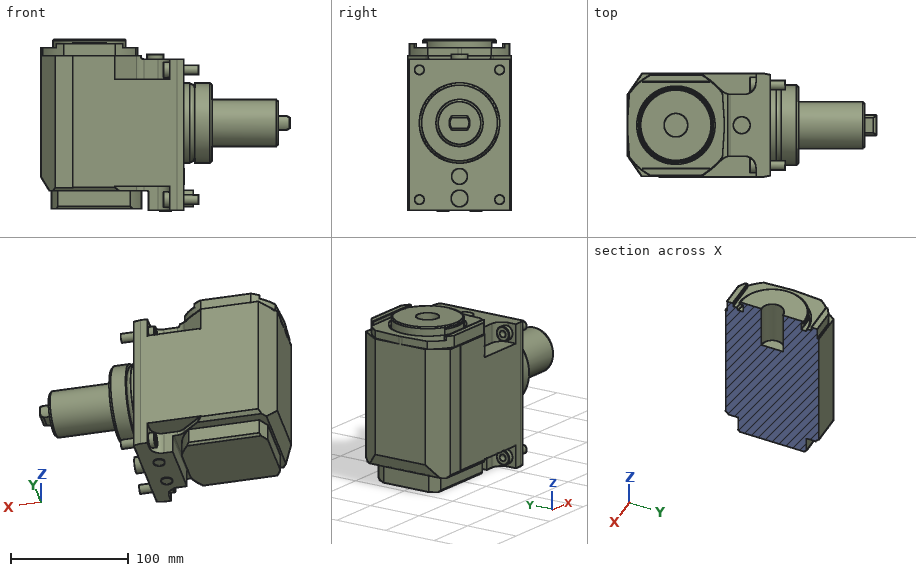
import cadquery as cq
import math


HALF_WIDTH = 44.0
SPINDLE_X = -80.1
HOUSING_FRONT_X = -121.2
HOUSING_TOP_Z = 57.0
HOUSING_BOTTOM_Z = -57.5
FRONT_HALF_FLAT = 25.8
FRONT_CORNER_LENGTH = 12.5
FRONT_BEVEL_LENGTH = 7.1
FRONT_BEVEL_HEIGHT = 11.7
SIDE_BEVEL = 3.2
SIDE_RELIEF_DEPTH = 0.6
SIDE_RELIEF_END_X = -94.2

FLANGE_TOP_Z = 54.2
FLANGE_BOTTOM_Z = -74.0
FLANGE_THICKNESS = 12.2
FLANGE_TAPER_LENGTH = 6.0
FLANGE_TAPER_INSET = 1.2
TOP_STEP_X = -36.3
TOP_STEP_RADIUS = 2.0
FOOT_FRONT_X = -30.2
FOOT_FILLET = 1.0

POCKET_START_X = -58.8
POCKET_INNER_Y = 26.2
POCKET_WALL_ANGLE = 40.0
POCKET_RADIUS = 10.0
UPPER_POCKET_FLOOR_Z = 37.0
LOWER_POCKET_ROOF_Z = -53.7

SCREW_Y = 34.0
SCREW_LEVELS = (45.0, -65.0)
SCREW_DIAMETER = 8.0
SCREW_TIP_X = 12.5
SCREW_HEAD_DIAMETER = 13.0
SCREW_HEAD_HEIGHT = 5.2
SCREW_HEAD_CHAMFER = 0.5
SCREW_SOCKET_DIAMETER = 6.0
SCREW_SOCKET_DEPTH = 2.0

PLATE_TOP_Z = 63.9
PLATE_RADIUS = 47.8
PLATE_HALF_WIDTH = 42.5
PLATE_HALF_LENGTH = 41.1
PLATE_TIP_HALF_WIDTH = 1.6
PLATE_END_HALF_WIDTH = 27.0
RAIL_TOP_Z = 67.3
RAIL_INNER_Y = 36.6
RAIL_HALF_LENGTH = 28.3
RAIL_EDGE_CHAMFER = 0.5
PLATE_RECESS_RADIUS = 33.2
PLATE_RECESS_FLOOR_RADIUS = 31.8
PLATE_RECESS_DEPTH = 2.5

NOSE_RADIUS = 31.0
NOSE_TOP_Z = 71.0
NOSE_CHAMFER = 1.2
NOSE_FLAT_OFFSET = 27.5
NOSE_FLAT_TOP_Z = 68.2
BORE_DIAMETER = 20.0
BORE_DEPTH = 40.0

COVER_FRONT_X = -112.3
COVER_BACK_X = -35.9
COVER_HALF_WIDTH = 32.2
COVER_BOTTOM_Z = -72.8
COVER_FRONT_HALF_FLAT = 23.2
COVER_FRONT_CORNER_LENGTH = 5.4
COVER_BACK_RADIUS = 47.4
COVER_SIDE_CHAMFER = 2.0

COLLAR_RADIUS = 34.1
COLLAR_LENGTH = 24.0
COLLAR_CHAMFER = 2.0
GROOVE_START_X = 4.8
GROOVE_END_X = 9.2
GROOVE_FLOOR_RADIUS = 30.2
SEAL_RADIUS = 33.4
SHANK_RADIUS = 20.0
SHANK_END_X = 80.1
SHANK_CHAMFER = 2.0
TANG_RADIUS = 8.8
TANG_END_X = 90.0
TANG_ACROSS_FLATS = 12.2
TANG_FLAT_BEVEL_LENGTH = 3.0
TANG_FLAT_BEVEL_HEIGHT = 1.8
TANG_RIM_CHAMFER = 0.7

TOP_PLUG_X = -24.3
TOP_PLUG_DIAMETER = 14.3
TOP_PLUG_HEIGHT = 3.9
PAD_X = -15.5
PAD_Y = 14.0
PAD_DIAMETER = 9.8
PAD_HEIGHT = 0.8
PIN_Z = -64.0
PIN_DIAMETER = 14.2
PIN_LENGTH = 8.1
SEAL_PAD_Z = -45.3
SEAL_PAD_DIAMETER = 13.4
SEAL_PAD_HEIGHT = 0.5

EMBED = 1.0
MARGIN = 10.0


def box_between(x_range, y_range, z_range):
    """Axis-aligned box between two coordinates on each axis."""
    size = [high - low for low, high in (x_range, y_range, z_range)]
    corner = (x_range[0], y_range[0], z_range[0])
    return cq.Workplane("XY").box(*size, centered=False).translate(corner)


def prism_z(outline, z_low, z_high):
    """Prism along Z from points in X and Y."""
    return cq.Workplane("XY").workplane(offset=z_low).polyline(outline).close().extrude(z_high - z_low)


def disc_z(x, y, z_low, radius, height):
    """Cylinder along Z."""
    return cq.Workplane("XY", origin=(x, y, z_low)).circle(radius).extrude(height)


def disc_x(x_low, y, z, radius, length):
    """Cylinder along X."""
    return cq.Workplane("YZ", origin=(x_low, y, z)).circle(radius).extrude(length)


def cone(base, direction, base_radius, end_radius, length):
    """Cone or frustum that starts at the base point and runs along the direction."""
    solid = cq.Solid.makeCone(base_radius, end_radius, length, cq.Vector(*base), cq.Vector(*direction))
    return cq.Workplane("XY").add(solid)


def both_sides(shape):
    """The shape together with its mirror image across the plane Y = 0."""
    return shape.union(shape.mirror("XZ"))


def side_bevel(half_width, bottom_z, size, x_low, x_high):
    """Triangular cutters for the two lower long edges of a block."""
    section = [
        (half_width + EMBED, bottom_z - EMBED),
        (half_width + EMBED, bottom_z + size + EMBED),
        (half_width - size - EMBED, bottom_z - EMBED),
    ]
    wedge = cq.Workplane("YZ", origin=(x_low, 0, 0)).polyline(section).close().extrude(x_high - x_low)
    return both_sides(wedge)


def housing():
    """Housing block with slanted front corners, lower bevels and a shallow side relief."""
    corner_x = HOUSING_FRONT_X + FRONT_CORNER_LENGTH
    outline = [
        (HOUSING_FRONT_X, -FRONT_HALF_FLAT),
        (corner_x, -HALF_WIDTH),
        (-FLANGE_THICKNESS, -HALF_WIDTH),
        (-FLANGE_THICKNESS, HALF_WIDTH),
        (corner_x, HALF_WIDTH),
        (HOUSING_FRONT_X, FRONT_HALF_FLAT),
    ]
    body = prism_z(outline, HOUSING_BOTTOM_Z, HOUSING_TOP_Z)
    front_bevel = (
        cq.Workplane("XZ", origin=(0, HALF_WIDTH, 0))
        .moveTo(HOUSING_FRONT_X, HOUSING_BOTTOM_Z)
        .lineTo(HOUSING_FRONT_X, HOUSING_BOTTOM_Z + FRONT_BEVEL_HEIGHT)
        .lineTo(HOUSING_FRONT_X + FRONT_BEVEL_LENGTH, HOUSING_BOTTOM_Z)
        .close()
        .extrude(2 * HALF_WIDTH)
    )
    side_relief = box_between(
        (HOUSING_FRONT_X, SIDE_RELIEF_END_X),
        (-HALF_WIDTH, -HALF_WIDTH + SIDE_RELIEF_DEPTH),
        (HOUSING_BOTTOM_Z, HOUSING_TOP_Z),
    )
    bevels = side_bevel(HALF_WIDTH, HOUSING_BOTTOM_Z, SIDE_BEVEL, HOUSING_FRONT_X, -FLANGE_THICKNESS)
    return body.cut(front_bevel).cut(side_relief).cut(bevels)


def top_step():
    """Cutter that lowers the housing top to flange height, with a rounded inner corner."""
    return (
        cq.Workplane("XZ", origin=(0, HALF_WIDTH, 0))
        .moveTo(TOP_STEP_X, HOUSING_TOP_Z + MARGIN)
        .lineTo(TOP_STEP_X, FLANGE_TOP_Z + TOP_STEP_RADIUS)
        .radiusArc((TOP_STEP_X + TOP_STEP_RADIUS, FLANGE_TOP_Z), -TOP_STEP_RADIUS)
        .lineTo(0, FLANGE_TOP_Z)
        .lineTo(0, HOUSING_TOP_Z + MARGIN)
        .close()
        .extrude(2 * HALF_WIDTH)
    )


def flange():
    """Flange plate with tapered rear sides."""
    face_half_width = HALF_WIDTH - FLANGE_TAPER_INSET
    outline = [
        (-FLANGE_THICKNESS, -HALF_WIDTH),
        (-FLANGE_TAPER_LENGTH, -HALF_WIDTH),
        (0, -face_half_width),
        (0, face_half_width),
        (-FLANGE_TAPER_LENGTH, HALF_WIDTH),
        (-FLANGE_THICKNESS, HALF_WIDTH),
    ]
    return prism_z(outline, FLANGE_BOTTOM_Z, FLANGE_TOP_Z)


def foot():
    """Block between the lower pockets, blended into the housing underside."""
    return (
        cq.Workplane("XZ", origin=(0, HALF_WIDTH, 0))
        .moveTo(FOOT_FRONT_X, FLANGE_BOTTOM_Z)
        .lineTo(FOOT_FRONT_X, HOUSING_BOTTOM_Z - FOOT_FILLET)
        .radiusArc((FOOT_FRONT_X - FOOT_FILLET, HOUSING_BOTTOM_Z), -FOOT_FILLET)
        .lineTo(FOOT_FRONT_X - FOOT_FILLET, HOUSING_BOTTOM_Z + EMBED)
        .lineTo(-FLANGE_THICKNESS, HOUSING_BOTTOM_Z + EMBED)
        .lineTo(-FLANGE_THICKNESS, FLANGE_BOTTOM_Z)
        .close()
        .extrude(2 * HALF_WIDTH)
    )


def screw_pocket(z_low, z_high):
    """Pocket on the +Y side: slanted wall, convex blend, straight wall and concave rear corner."""
    angle = math.radians(POCKET_WALL_ANGLE)
    bend_x = POCKET_START_X + (HALF_WIDTH - POCKET_INNER_Y) / math.tan(angle)
    setback = POCKET_RADIUS * math.tan(angle / 2)
    blend_start = (bend_x - setback * math.cos(angle), POCKET_INNER_Y + setback * math.sin(angle))
    outer_y = HALF_WIDTH + MARGIN
    outer_x = POCKET_START_X - MARGIN / math.tan(angle)
    return (
        cq.Workplane("XY")
        .workplane(offset=z_low)
        .moveTo(outer_x, outer_y)
        .lineTo(*blend_start)
        .radiusArc((bend_x + setback, POCKET_INNER_Y), -POCKET_RADIUS)
        .lineTo(-FLANGE_THICKNESS - POCKET_RADIUS, POCKET_INNER_Y)
        .radiusArc((-FLANGE_THICKNESS, POCKET_INNER_Y + POCKET_RADIUS), -POCKET_RADIUS)
        .lineTo(-FLANGE_THICKNESS, outer_y)
        .close()
        .extrude(z_high - z_low)
    )


def screw(y, z):
    """Screw through the flange, its round head hollowed by a cone."""
    head_x = -FLANGE_THICKNESS - SCREW_HEAD_HEIGHT
    shaft = disc_x(-FLANGE_THICKNESS, y, z, SCREW_DIAMETER / 2, FLANGE_THICKNESS + SCREW_TIP_X)
    head = disc_x(head_x, y, z, SCREW_HEAD_DIAMETER / 2, SCREW_HEAD_HEIGHT + EMBED)
    head = head.faces("<X").chamfer(SCREW_HEAD_CHAMFER)
    socket = cone((head_x, y, z), (1, 0, 0), SCREW_SOCKET_DIAMETER / 2, 0, SCREW_SOCKET_DEPTH)
    return head.cut(socket).union(shaft)


def cover_plate():
    """Plate with slightly pointed ends, arc corners, two rails and a conical recess."""
    end_x = math.sqrt(PLATE_RADIUS**2 - PLATE_END_HALF_WIDTH**2)
    tip = PLATE_TIP_HALF_WIDTH
    outline = [
        (PLATE_HALF_LENGTH, -tip),
        (PLATE_HALF_LENGTH, tip),
        (end_x, PLATE_END_HALF_WIDTH),
        (0, 2 * PLATE_RADIUS),
        (-end_x, PLATE_END_HALF_WIDTH),
        (-PLATE_HALF_LENGTH, tip),
        (-PLATE_HALF_LENGTH, -tip),
        (-end_x, -PLATE_END_HALF_WIDTH),
        (0, -2 * PLATE_RADIUS),
        (end_x, -PLATE_END_HALF_WIDTH),
    ]
    base_z = HOUSING_TOP_Z
    blank = prism_z(outline, base_z, RAIL_TOP_Z)
    blank = blank.intersect(disc_z(0, 0, base_z, PLATE_RADIUS, RAIL_TOP_Z - base_z))
    full_span = (-PLATE_RADIUS, PLATE_RADIUS)
    blank = blank.intersect(
        box_between(full_span, (-PLATE_HALF_WIDTH, PLATE_HALF_WIDTH), (base_z, RAIL_TOP_Z))
    )
    above_plate = (PLATE_TOP_Z, RAIL_TOP_Z)
    channel_section = [
        (0, PLATE_TOP_Z),
        (RAIL_INNER_Y, PLATE_TOP_Z),
        (RAIL_INNER_Y, RAIL_TOP_Z - RAIL_EDGE_CHAMFER),
        (RAIL_INNER_Y + RAIL_EDGE_CHAMFER, RAIL_TOP_Z),
        (0, RAIL_TOP_Z),
    ]
    channel = cq.Workplane("YZ", origin=(-PLATE_RADIUS, 0, 0)).polyline(channel_section).close()
    blank = blank.cut(both_sides(channel.extrude(2 * PLATE_RADIUS)))
    blank = blank.cut(box_between((RAIL_HALF_LENGTH, PLATE_RADIUS), full_span, above_plate))
    blank = blank.cut(box_between((-PLATE_RADIUS, -RAIL_HALF_LENGTH), full_span, above_plate))
    recess = cone(
        (0, 0, PLATE_TOP_Z),
        (0, 0, -1),
        PLATE_RECESS_RADIUS,
        PLATE_RECESS_FLOOR_RADIUS,
        PLATE_RECESS_DEPTH,
    )
    return blank.cut(recess).translate((SPINDLE_X, 0, 0))


def spindle_nose():
    """Round nose with two wrench flats below its rim."""
    base_z = HOUSING_TOP_Z
    nose = disc_z(SPINDLE_X, 0, base_z, NOSE_RADIUS, NOSE_TOP_Z - base_z)
    nose = nose.faces(">Z").chamfer(NOSE_CHAMFER)
    flat = box_between(
        (SPINDLE_X - NOSE_RADIUS, SPINDLE_X + NOSE_RADIUS),
        (NOSE_FLAT_OFFSET, NOSE_RADIUS + EMBED),
        (PLATE_TOP_Z - PLATE_RECESS_DEPTH, NOSE_FLAT_TOP_Z),
    )
    return nose.cut(both_sides(flat))


def bottom_cover():
    """Cover with slanted front corners, arc back corners and chamfered long edges."""
    corner_x = COVER_FRONT_X + COVER_FRONT_CORNER_LENGTH
    outline = [
        (COVER_FRONT_X, -COVER_FRONT_HALF_FLAT),
        (corner_x, -COVER_HALF_WIDTH),
        (COVER_BACK_X, -COVER_HALF_WIDTH),
        (COVER_BACK_X, COVER_HALF_WIDTH),
        (corner_x, COVER_HALF_WIDTH),
        (COVER_FRONT_X, COVER_FRONT_HALF_FLAT),
    ]
    cover = prism_z(outline, COVER_BOTTOM_Z, HOUSING_BOTTOM_Z)
    height = HOUSING_BOTTOM_Z - COVER_BOTTOM_Z
    cover = cover.intersect(disc_z(SPINDLE_X, 0, COVER_BOTTOM_Z, COVER_BACK_RADIUS, height))
    bevels = side_bevel(COVER_HALF_WIDTH, COVER_BOTTOM_Z, COVER_SIDE_CHAMFER, COVER_FRONT_X, COVER_BACK_X)
    return cover.cut(bevels)


def shank():
    """Collar with sealing ring groove, followed by the cylindrical shank."""
    seal_length = GROOVE_END_X - GROOVE_START_X
    seal_drop = SEAL_RADIUS - GROOVE_FLOOR_RADIUS
    crown_radius = (seal_length**2 + seal_drop**2) / (2 * seal_drop)
    return (
        cq.Workplane("XY")
        .moveTo(-EMBED, 0)
        .lineTo(-EMBED, COLLAR_RADIUS)
        .lineTo(GROOVE_START_X, COLLAR_RADIUS)
        .lineTo(GROOVE_START_X, SEAL_RADIUS)
        .radiusArc((GROOVE_END_X, GROOVE_FLOOR_RADIUS), crown_radius)
        .lineTo(GROOVE_END_X, COLLAR_RADIUS)
        .lineTo(COLLAR_LENGTH - COLLAR_CHAMFER, COLLAR_RADIUS)
        .lineTo(COLLAR_LENGTH, COLLAR_RADIUS - COLLAR_CHAMFER)
        .lineTo(COLLAR_LENGTH, SHANK_RADIUS)
        .lineTo(SHANK_END_X - SHANK_CHAMFER, SHANK_RADIUS)
        .lineTo(SHANK_END_X, SHANK_RADIUS - SHANK_CHAMFER)
        .lineTo(SHANK_END_X, 0)
        .close()
        .revolve(360, (0, 0, 0), (1, 0, 0))
    )


def drive_tang():
    """Round tang with two flats that are bevelled at the tip."""
    start_x = SHANK_END_X - EMBED
    half_flat = TANG_ACROSS_FLATS / 2
    bevel_x = TANG_END_X - TANG_FLAT_BEVEL_LENGTH
    tip_half = half_flat - TANG_FLAT_BEVEL_HEIGHT
    side_profile = [
        (start_x, -half_flat),
        (bevel_x, -half_flat),
        (TANG_END_X, -tip_half),
        (TANG_END_X, tip_half),
        (bevel_x, half_flat),
        (start_x, half_flat),
    ]
    flats = (
        cq.Workplane("XZ", origin=(0, TANG_RADIUS, 0)).polyline(side_profile).close().extrude(2 * TANG_RADIUS)
    )
    round_bar = disc_x(start_x, 0, 0, TANG_RADIUS, TANG_END_X - start_x)
    return round_bar.faces(">X").chamfer(TANG_RIM_CHAMFER).intersect(flats)


def plugs_and_pins():
    """Plug on top, two pads underneath, and a pin and a seal pad on the flange face."""
    plug = disc_z(TOP_PLUG_X, 0, FLANGE_TOP_Z - EMBED, TOP_PLUG_DIAMETER / 2, TOP_PLUG_HEIGHT + EMBED)
    pad = disc_z(PAD_X, PAD_Y, FLANGE_BOTTOM_Z - PAD_HEIGHT, PAD_DIAMETER / 2, PAD_HEIGHT + EMBED)
    pin = disc_x(-EMBED, 0, PIN_Z, PIN_DIAMETER / 2, PIN_LENGTH + EMBED)
    seal_pad = disc_x(-EMBED, 0, SEAL_PAD_Z, SEAL_PAD_DIAMETER / 2, SEAL_PAD_HEIGHT + EMBED)
    return [plug, both_sides(pad), pin, seal_pad]


def tool_holder():
    """All sections joined into one solid."""
    part = housing().union(foot()).cut(top_step())
    part = part.cut(both_sides(screw_pocket(UPPER_POCKET_FLOOR_Z, HOUSING_TOP_Z)))
    part = part.cut(both_sides(screw_pocket(FLANGE_BOTTOM_Z, LOWER_POCKET_ROOF_Z)))
    part = part.union(flange())
    attachments = [cover_plate(), spindle_nose(), bottom_cover(), shank(), drive_tang()]
    for attachment in attachments + plugs_and_pins():
        part = part.union(attachment)
    for z in SCREW_LEVELS:
        for y in (-SCREW_Y, SCREW_Y):
            part = part.union(screw(y, z))
    return part.cut(disc_z(SPINDLE_X, 0, NOSE_TOP_Z - BORE_DEPTH, BORE_DIAMETER / 2, BORE_DEPTH))


result = tool_holder()